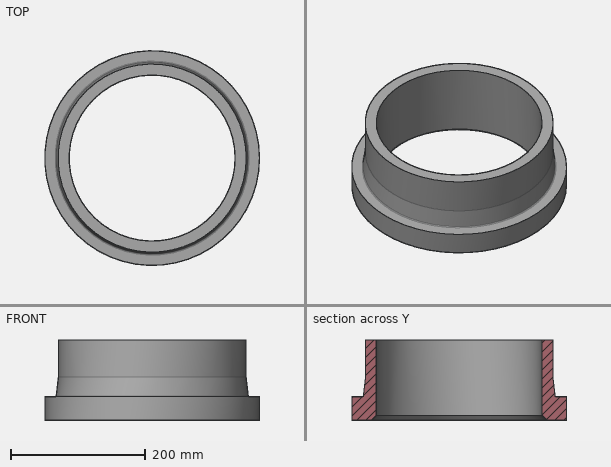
import cadquery as cq

flange_diameter = 320.0
pipe_diameter = 280.0
bore_diameter = 246.7
neck_base_diameter = 286.7
total_height = 120.0
flange_height = 35.5
neck_height = 28.8
root_fillet = 1.3
bore_chamfer = 7.5

flange_radius = flange_diameter / 2
pipe_radius = pipe_diameter / 2
bore_radius = bore_diameter / 2
neck_base_radius = neck_base_diameter / 2
neck_top = flange_height + neck_height

profile = (
    cq.Workplane("XZ")
    .moveTo(bore_radius, 0)
    .lineTo(flange_radius, 0)
    .lineTo(flange_radius, flange_height)
    .lineTo(neck_base_radius, flange_height)
    .lineTo(pipe_radius, neck_top)
    .lineTo(pipe_radius, total_height)
    .lineTo(bore_radius, total_height)
    .close()
)
body = profile.revolve(360, (0, 0, 0), (0, 1, 0))

neck_root = cq.selectors.RadiusNthSelector(2)
body = body.edges(neck_root).fillet(root_fillet)

bore_mouth = cq.selectors.RadiusNthSelector(0)
result = body.faces("<Z").edges(bore_mouth).chamfer(bore_chamfer)